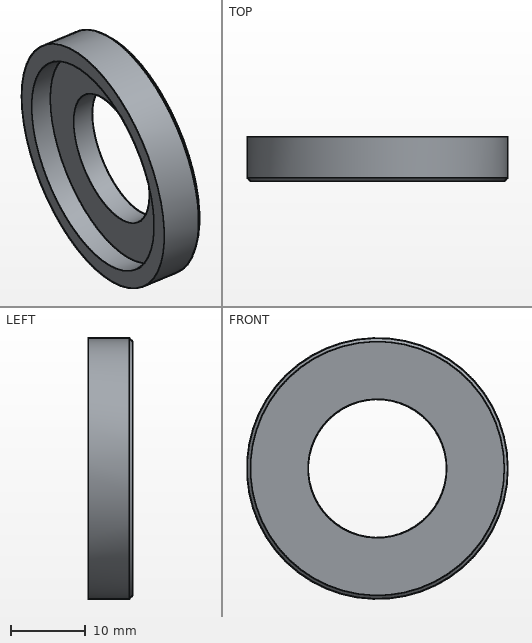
import cadquery as cq

outer_diameter = 35.0
bore_diameter = 18.5
thickness = 6.0
rim_chamfer = 0.5
web_thickness = 3.0
recess_diameter = 30.0
recess_depth = thickness - web_thickness

ring = (
    cq.Workplane("XZ")
    .circle(outer_diameter / 2)
    .circle(bore_diameter / 2)
    .extrude(thickness)
)

outer_rim = cq.selectors.RadiusNthSelector(-1)
chamfered_ring = ring.faces("<Y").edges(outer_rim).chamfer(rim_chamfer)

recess = cq.Workplane("XZ").circle(recess_diameter / 2).extrude(recess_depth)
result = chamfered_ring.cut(recess)